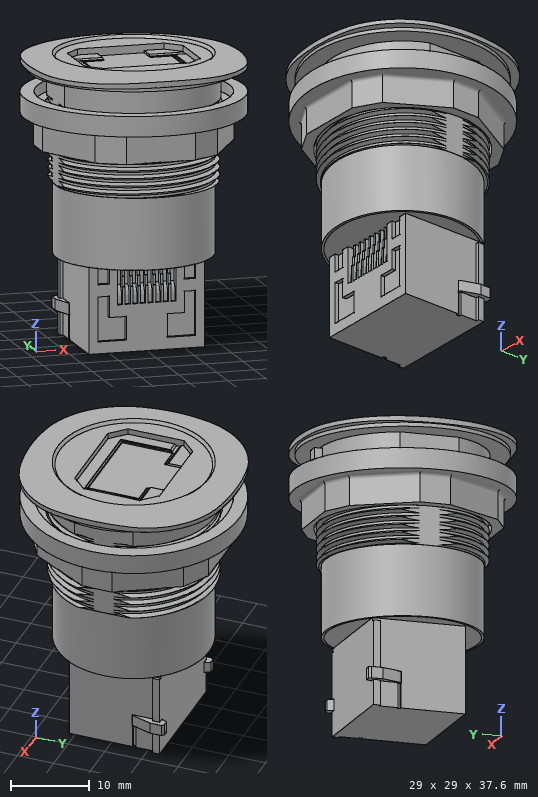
import cadquery as cq
import math

TOTAL_HEIGHT = 37.6
SLEEVE_BOTTOM = 11.58
THREAD_BOTTOM = 21.0
THREAD_TOP = 31.9
BEZEL_SEAT = 35.65
BEZEL_BOTTOM = 36.17
BEZEL_RIM_Z = 36.77

SLEEVE_DIAMETER = 20.7
BORE_DIAMETER = 20.05
NECK_DIAMETER = 22.2
FLAT_TO_FLAT = 20.7
SEAT_DIAMETER = 27.4
BEZEL_HALF_WIDTH = 14.05
BEZEL_SIDE_RADIUS = 24.8
BEZEL_SIDE_HALF_CHORD = 4.45
BEZEL_CORNER_REACH = 14.9
FACE_LIP_DEPTH = 0.4
KEY_WIDTH = 1.5
KEY_BOTTOM = 33.9
KEY_TOP = 35.4
KEY_REACH = 12.15

THREAD_ROOT_DIAMETER = 20.9
THREAD_CREST_DIAMETER = 22.05
THREAD_PITCH = 1.0
THREAD_FLANK_HALF_HEIGHT = 0.4
THREAD_EMBED = 0.15

NUT_BOTTOM = 25.95
FLANGE_BOTTOM = 29.93
FLANGE_TOP = 32.6
FLANGE_DIAMETER = 29.0
NUT_BORE_DIAMETER = 22.6
NUT_RECESS_DIAMETER = 25.35
NUT_RECESS_DEPTH = 1.5
NUT_FLAT_APOTHEM = 12.05
NUT_CORNER_APOTHEM = 12.7
NUT_FILLET = 0.53

BLOCK_HALF_WIDTH = 7.67
BLOCK_FRONT = -5.8
BLOCK_BACK = 6.73
WING_HALF_WIDTH = 8.1
WING_FRONT = 5.8
WING_TOP = 11.15
FRONT_POCKET_DEPTH = 0.55
POCKET_OUTER_X = 6.45
POCKET_INNER_X = 4.95
POCKET_FOOT_X = 2.7
UPPER_POCKET_BOTTOM = 9.02
LOWER_POCKET_TOP = 7.45
LOWER_POCKET_FOOT_TOP = 4.65
LOWER_POCKET_BOTTOM = 1.58

SLOT_COUNT = 8
SLOT_PITCH = 1.0
SLOT_WIDTH = 0.68
SLOT_BOTTOM = 6.25
CONTACT_BEND = ((7.35, 0.45), (7.85, 0.55), (8.4, 0.85), (8.7, 0.98))
COMB_STEPS = ((8.55, 0.2), (9.85, 0.38))

TAB_BOTTOM = 3.3
TAB_TOP = 4.8
TAB_FRONT = 2.85
TAB_BACK = 7.52
TAB_REACH = 8.72
TAB_FRONT_REACH = 7.9
TAB_SLOPE_END = 5.68
TAB_CHAMFER = 0.3
RELIEF_WIDTH = 0.45
RELIEF_DEPTH = 0.38

SOCKET_HALF_WIDTH = 7.67
SOCKET_HALF_HEIGHT = 5.8
SOCKET_CHAMFER = 1.95
SOCKET_DEPTH = 0.8
OPENING_HALF_WIDTH = 6.2
OPENING_BOTTOM = -4.2
OPENING_TOP = 3.27
OPENING_LEDGE = 0.25
LEDGE_DEPTH = 0.1
FLOOR_DEPTH = 0.3
LATCH_HALF_WIDTH = 3.1
GROOVE_BACK = 3.55
GROOVE_FRONT = 2.55
GROOVE_SLOPE = 0.25
GROOVE_DEPTH = 0.2


def cylinder(diameter, bottom, top):
    return cq.Workplane("XY").workplane(offset=bottom).circle(diameter / 2).extrude(top - bottom)


def box(x_range, y_range, z_range):
    size = [high - low for low, high in (x_range, y_range, z_range)]
    corner = (x_range[0], y_range[0], z_range[0])
    return cq.Workplane("XY").box(*size, centered=False).translate(corner)


def with_mirror(body):
    """Add the copy mirrored to the other side of the YZ plane."""
    return body.union(body.mirror("YZ"))



def bezel_outline():
    """Closed square-like outline of four bowed sides and four round corners."""
    sag = BEZEL_SIDE_RADIUS - math.sqrt(BEZEL_SIDE_RADIUS**2 - BEZEL_SIDE_HALF_CHORD**2)
    half, near = BEZEL_SIDE_HALF_CHORD, BEZEL_HALF_WIDTH - sag
    diagonal = BEZEL_CORNER_REACH / math.sqrt(2)
    outline = cq.Workplane("XY").workplane(offset=BEZEL_BOTTOM).moveTo(BEZEL_HALF_WIDTH - sag, -half)
    for turn in range(4):
        cosine, sine = round(math.cos(turn * math.pi / 2)), round(math.sin(turn * math.pi / 2))

        def turned(x, y):
            return (x * cosine - y * sine, x * sine + y * cosine)

        outline = outline.threePointArc(turned(BEZEL_HALF_WIDTH, 0), turned(near, half))
        outline = outline.threePointArc(turned(diagonal, diagonal), turned(half, near))
    return outline.close()


def bezel():
    crown_radius = SLEEVE_DIAMETER / 2
    bezel_plate = bezel_outline().extrude(TOTAL_HEIGHT - BEZEL_BOTTOM)
    crown = (
        cq.Workplane("XZ")
        .polyline([
            (0, BEZEL_BOTTOM),
            (BEZEL_CORNER_REACH, BEZEL_BOTTOM),
            (BEZEL_CORNER_REACH, BEZEL_RIM_Z),
            (crown_radius, TOTAL_HEIGHT),
            (0, TOTAL_HEIGHT),
        ])
        .close()
        .revolve(360, (0, 0), (0, 1))
    )
    return bezel_plate.intersect(crown).union(cylinder(SEAT_DIAMETER, BEZEL_SEAT, BEZEL_BOTTOM))


def flat_sided_cylinder(diameter, bottom, top):
    """Cylinder with a flat on each X side."""
    half_flat = FLAT_TO_FLAT / 2
    flat_limits = box((-half_flat, half_flat), (-diameter, diameter), (bottom, top))
    return cylinder(diameter, bottom, top).intersect(flat_limits)


def thread_turn():
    """One turn of the triangular helical ridge, cut to the two flats."""
    inner = THREAD_ROOT_DIAMETER / 2 - THREAD_EMBED
    start = THREAD_BOTTOM - THREAD_PITCH
    helix = cq.Wire.makeHelix(THREAD_PITCH, THREAD_PITCH, inner, cq.Vector(0, 0, start))
    flank = THREAD_FLANK_HALF_HEIGHT
    profile = cq.Workplane("XZ").polyline([
        (inner, start - flank),
        (THREAD_CREST_DIAMETER / 2, start),
        (inner, start + flank),
    ]).close()
    turn = profile.sweep(cq.Workplane(helix), isFrenet=True)
    side_y = (-NECK_DIAMETER, NECK_DIAMETER)
    side = box((FLAT_TO_FLAT / 2, NECK_DIAMETER), side_y, (0, TOTAL_HEIGHT))
    return turn.cut(side).cut(side.mirror("YZ"))


def threaded_core():
    """Flat-sided core with the thread ridge, trimmed to length."""
    turn_count = math.ceil((THREAD_TOP - THREAD_BOTTOM) / THREAD_PITCH) + 2
    overrun = 2 * THREAD_PITCH
    core = flat_sided_cylinder(THREAD_ROOT_DIAMETER, THREAD_BOTTOM - overrun, THREAD_TOP + overrun)
    turn = thread_turn()
    for index in range(turn_count):
        core = core.union(turn.translate((0, 0, index * THREAD_PITCH)))
    return core.intersect(cylinder(NECK_DIAMETER, THREAD_BOTTOM, THREAD_TOP))


def make_housing():
    neck = flat_sided_cylinder(NECK_DIAMETER, THREAD_TOP, BEZEL_SEAT)
    sleeve = cylinder(SLEEVE_DIAMETER, SLEEVE_BOTTOM, THREAD_BOTTOM)
    stem = threaded_core().union(neck).union(sleeve)
    key = box((-KEY_WIDTH / 2, KEY_WIDTH / 2), (0, KEY_REACH), (KEY_BOTTOM, KEY_TOP))
    lip = cq.Workplane("XY").workplane(offset=TOTAL_HEIGHT - FACE_LIP_DEPTH).circle(BORE_DIAMETER / 2)
    lip = lip.workplane(offset=FACE_LIP_DEPTH).circle(SLEEVE_DIAMETER / 2).loft()
    bore = cylinder(BORE_DIAMETER, SLEEVE_BOTTOM, TOTAL_HEIGHT)
    return stem.union(key).union(bezel()).cut(bore).cut(lip)



def hex_prism(apothem):
    """Hexagonal prism below the flange, with corners along X."""
    sketch = cq.Workplane("XY").workplane(offset=NUT_BOTTOM).polygon(6, 2 * apothem, circumscribed=True)
    return sketch.extrude(FLANGE_BOTTOM - NUT_BOTTOM)


def make_nut():
    hexagon = hex_prism(NUT_FLAT_APOTHEM).rotate((0, 0, 0), (0, 0, 1), 30)
    corner_trim = hex_prism(NUT_CORNER_APOTHEM)
    nut = hexagon.intersect(corner_trim).union(cylinder(FLANGE_DIAMETER, FLANGE_BOTTOM, FLANGE_TOP))
    junction = cq.selectors.BoxSelector(
        (-NUT_CORNER_APOTHEM * 1.05, -NUT_CORNER_APOTHEM * 1.05, FLANGE_BOTTOM - 0.05),
        (NUT_CORNER_APOTHEM * 1.05, NUT_CORNER_APOTHEM * 1.05, FLANGE_BOTTOM + 0.05),
    )
    nut = nut.edges(junction).edges("#Z").edges("%LINE").fillet(NUT_FILLET)
    recess = cylinder(NUT_RECESS_DIAMETER, FLANGE_TOP - NUT_RECESS_DEPTH, FLANGE_TOP)
    return nut.cut(cylinder(NUT_BORE_DIAMETER, NUT_BOTTOM, FLANGE_TOP)).cut(recess)



def front_pockets():
    """Rectangular upper pocket and L-shaped lower pocket on each half of the front."""
    depth_range = (BLOCK_FRONT, BLOCK_FRONT + FRONT_POCKET_DEPTH)
    column = (POCKET_INNER_X, POCKET_OUTER_X)
    foot = (POCKET_FOOT_X, POCKET_OUTER_X)
    upper = box(column, depth_range, (UPPER_POCKET_BOTTOM, SLEEVE_BOTTOM))
    lower = box(column, depth_range, (LOWER_POCKET_BOTTOM, LOWER_POCKET_TOP))
    lower = lower.union(box(foot, depth_range, (LOWER_POCKET_BOTTOM, LOWER_POCKET_FOOT_TOP)))
    return with_mirror(upper.union(lower))


def contact_slot(center_x):
    """Slot whose back is the face of a contact that bends inward towards the top."""
    bend = [(BLOCK_FRONT + depth, height) for height, depth in CONTACT_BEND]
    profile = (
        cq.Workplane("YZ")
        .moveTo(BLOCK_FRONT, SLOT_BOTTOM)
        .lineTo(bend[0][0], SLOT_BOTTOM)
        .polyline(bend, includeCurrent=True)
        .lineTo(bend[-1][0], SLEEVE_BOTTOM)
        .lineTo(BLOCK_FRONT, SLEEVE_BOTTOM)
        .close()
    )
    return profile.extrude(SLOT_WIDTH / 2, both=True).translate((center_x, 0, 0))


def cut_comb(block):
    end_x = (SLOT_COUNT - 1) / 2 * SLOT_PITCH
    for step_bottom, step_depth in COMB_STEPS:
        step_y = (BLOCK_FRONT, BLOCK_FRONT + step_depth)
        block = block.cut(box((-end_x, end_x), step_y, (step_bottom, SLEEVE_BOTTOM)))
    for index in range(SLOT_COUNT):
        block = block.cut(contact_slot(index * SLOT_PITCH - end_x))
    return block


def snap_tab():
    profile = [
        (BLOCK_HALF_WIDTH - RELIEF_DEPTH, TAB_FRONT),
        (TAB_FRONT_REACH - TAB_CHAMFER / 2, TAB_FRONT),
        (TAB_FRONT_REACH, TAB_FRONT + TAB_CHAMFER),
        (TAB_REACH, TAB_SLOPE_END),
        (TAB_REACH, TAB_BACK - TAB_CHAMFER),
        (TAB_REACH - TAB_CHAMFER, TAB_BACK),
        (BLOCK_HALF_WIDTH, TAB_BACK),
        (BLOCK_HALF_WIDTH - RELIEF_DEPTH, BLOCK_BACK),
    ]
    tab = cq.Workplane("XY").workplane(offset=TAB_BOTTOM).polyline(profile).close()
    return tab.extrude(TAB_TOP - TAB_BOTTOM)


def jack_block():
    block_x = (-BLOCK_HALF_WIDTH, BLOCK_HALF_WIDTH)
    block = box(block_x, (BLOCK_FRONT, BLOCK_BACK), (0, SLEEVE_BOTTOM))
    wings_x = (-WING_HALF_WIDTH, WING_HALF_WIDTH)
    block = block.union(box(wings_x, (WING_FRONT, BLOCK_BACK), (0, WING_TOP)))
    relief = box(
        (BLOCK_HALF_WIDTH - RELIEF_DEPTH, BLOCK_HALF_WIDTH),
        (TAB_FRONT, TAB_FRONT + RELIEF_WIDTH),
        (0, TAB_BOTTOM),
    )
    block = block.cut(with_mirror(relief)).cut(front_pockets())
    return cut_comb(block).union(with_mirror(snap_tab()))


def socket_cut(face_z):
    """Eight-sided recess with a stepped, keyed opening and a groove in its floor."""
    recess_floor = face_z - SOCKET_DEPTH
    recess = box(
        (-SOCKET_HALF_WIDTH, SOCKET_HALF_WIDTH),
        (-SOCKET_HALF_HEIGHT, SOCKET_HALF_HEIGHT),
        (recess_floor, face_z),
    ).edges("|Z").chamfer(SOCKET_CHAMFER)
    ledge = box(
        (-OPENING_HALF_WIDTH, OPENING_HALF_WIDTH),
        (OPENING_BOTTOM, OPENING_TOP),
        (recess_floor - LEDGE_DEPTH, recess_floor),
    )
    inner_half_width = OPENING_HALF_WIDTH - OPENING_LEDGE
    floor_z = (recess_floor - FLOOR_DEPTH, recess_floor)
    opening = box(
        (-inner_half_width, inner_half_width),
        (OPENING_BOTTOM + OPENING_LEDGE, OPENING_TOP - OPENING_LEDGE),
        floor_z,
    )
    latch = box((-LATCH_HALF_WIDTH, LATCH_HALF_WIDTH), (0, SOCKET_HALF_HEIGHT), floor_z)
    groove = (
        cq.Workplane("YZ")
        .polyline([
            (GROOVE_FRONT, recess_floor),
            (GROOVE_FRONT + GROOVE_SLOPE, recess_floor - GROOVE_DEPTH),
            (GROOVE_BACK - GROOVE_SLOPE, recess_floor - GROOVE_DEPTH),
            (GROOVE_BACK, recess_floor),
        ])
        .close()
        .extrude(SOCKET_HALF_WIDTH, both=True)
    )
    return recess.union(ledge).union(opening).union(latch).union(groove)


def make_jack():
    face_z = TOTAL_HEIGHT - FACE_LIP_DEPTH
    insert = cylinder(BORE_DIAMETER, SLEEVE_BOTTOM, face_z)
    return insert.union(jack_block()).cut(socket_cut(face_z))


housing = make_housing()
nut = make_nut()
jack = make_jack()
result = cq.Compound.makeCompound([housing.val(), nut.val(), jack.val()])